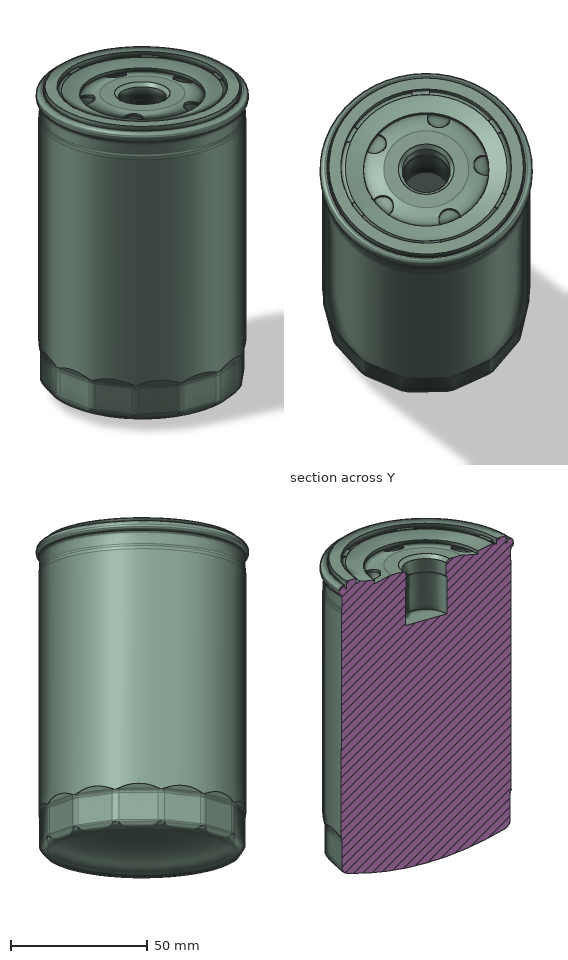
import cadquery as cq
import math

TOTAL_HEIGHT = 122.9
RIM_RADIUS = 39.0
CAN_RADIUS = 38.05

NECK_RADIUS = 37.85
NECK_STEP_RADIUS = 38.0
RIM_TOP_Z = TOTAL_HEIGHT - 1.55
RIM_TOP_ROUND = 1.8
RIM_BAND_HEIGHT = 0.8
RIM_LOWER_ROUND = 1.2
RIM_BAND_TOP_Z = RIM_TOP_Z - RIM_TOP_ROUND
RIM_BAND_BOTTOM_Z = RIM_BAND_TOP_Z - RIM_BAND_HEIGHT
RIM_BOTTOM_Z = RIM_BAND_BOTTOM_Z - RIM_LOWER_ROUND
NECK_FLARE_RADIUS = 38.0
NECK_TOP_Z = TOTAL_HEIGHT - 6.1
NECK_BOTTOM_Z = TOTAL_HEIGHT - 10.4
NECK_STEP_Z = TOTAL_HEIGHT - 11.2
CAN_TOP_Z = TOTAL_HEIGHT - 12.4

GASKET_OUTER_RADIUS = 35.75
GASKET_INNER_RADIUS = 31.3
GAP_OUTER_RADIUS = 36.5
GAP_FLOOR_RADIUS = 35.9
GAP_FLOOR_Z = RIM_TOP_Z - 1.5

TAB_COUNT = 6
TAB_SPAN = 12.0
TAB_FIRST_ANGLE = 10.0
TAB_TOP_Z = TOTAL_HEIGHT - 1.4

PLATE_EDGE_RADIUS = 29.7
PLATE_EDGE_Z = TOTAL_HEIGHT - 1.6
PLATE_GROOVE_Z = TOTAL_HEIGHT - 2.2
STEP_RADIUS = 23.0
STEP_TOP_Z = TOTAL_HEIGHT - 2.9
STEP_BOTTOM_Z = TOTAL_HEIGHT - 4.2
CENTRE_RADIUS = 15.6
CENTRE_Z = TOTAL_HEIGHT - 2.7

INLET_COUNT = 5
INLET_RADIUS = 4.1
INLET_CIRCLE_RADIUS = 21.7
INLET_FIRST_ANGLE = 90.0
INLET_DEPTH = 1.0
INLET_UNDERCUT = 0.4

BORE_MOUTH_RADIUS = 10.2
BORE_RADIUS = 8.8
BORE_CHAMFER_DEPTH = 1.4
BORE_LAND_LENGTH = 5.5
BORE_RELIEF_RADIUS = 9.1
BORE_DEPTH = 22.0

FLAT_COUNT = 14
FLAT_APOTHEM = 37.0
FLAT_PHASE = 2.75
POLYGON_START_ANGLE = 90.0
FLAT_CORNER_RADIUS = 5.7
FLAT_TOP_Z = TOTAL_HEIGHT - 103.95
FLAT_RUNOUT_Z = TOTAL_HEIGHT - 101.4
FLAT_RUNOUT_WIDTH = 1.1
FLAT_RUNOUT_ROUND = 4.0
FLAT_BOTTOM_Z = TOTAL_HEIGHT - 115.0
FLAT_EDGE_ROUND = 3.6
SELECTION_MARGIN = 0.1
ENVELOPE_MARGIN = 1.0

CAN_EDGE_ROUND = 4.3
CAN_EDGE_TOP_Z = TOTAL_HEIGHT - 114.0


def sphere_radius():
    """Radius of the dome sphere that touches Z = 0 and blends into the lower edge round."""
    rise = CAN_EDGE_TOP_Z - CAN_EDGE_ROUND
    reach = CAN_RADIUS - CAN_EDGE_ROUND
    return (reach**2 + rise**2) / (2 * rise) + CAN_EDGE_ROUND


def point_on_arc(centre, radius, angle):
    """Point at an angle, in degrees, on a circle in the profile plane."""
    turn = math.radians(angle)
    return (centre[0] + radius * math.cos(turn), centre[1] + radius * math.sin(turn))


def make_shell():
    """Outside of the filter, solid up to the gasket top, without flats."""
    sphere = sphere_radius()
    sphere_centre = (0, sphere)
    edge_centre = (CAN_RADIUS - CAN_EDGE_ROUND, CAN_EDGE_TOP_Z)
    blend_angle = -math.degrees(math.atan2(sphere - edge_centre[1], edge_centre[0]))
    dome_middle = point_on_arc(sphere_centre, sphere, (blend_angle - 90) / 2)
    dome_end = point_on_arc(edge_centre, CAN_EDGE_ROUND, blend_angle)
    edge_middle = point_on_arc(edge_centre, CAN_EDGE_ROUND, blend_angle / 2)

    upper_centre = (RIM_RADIUS - RIM_TOP_ROUND, RIM_BAND_TOP_Z)
    lower_centre = (RIM_RADIUS - RIM_LOWER_ROUND, RIM_BAND_BOTTOM_Z)
    profile = (
        cq.Workplane("XZ")
        .moveTo(0, 0)
        .threePointArc(dome_middle, dome_end)
        .threePointArc(edge_middle, (CAN_RADIUS, CAN_EDGE_TOP_Z))
        .lineTo(CAN_RADIUS, CAN_TOP_Z)
        .lineTo(NECK_STEP_RADIUS, NECK_STEP_Z)
        .lineTo(NECK_RADIUS, NECK_BOTTOM_Z)
        .lineTo(NECK_RADIUS, NECK_TOP_Z)
        .lineTo(NECK_FLARE_RADIUS, RIM_BOTTOM_Z)
        .lineTo(lower_centre[0], RIM_BOTTOM_Z)
        .threePointArc(point_on_arc(lower_centre, RIM_LOWER_ROUND, -45), (RIM_RADIUS, RIM_BAND_BOTTOM_Z))
        .lineTo(RIM_RADIUS, RIM_BAND_TOP_Z)
        .threePointArc(point_on_arc(upper_centre, RIM_TOP_ROUND, 45), (upper_centre[0], RIM_TOP_Z))
        .lineTo(GAP_OUTER_RADIUS, RIM_TOP_Z)
        .lineTo(GAP_FLOOR_RADIUS, GAP_FLOOR_Z)
        .lineTo(GASKET_OUTER_RADIUS, GAP_FLOOR_Z)
        .lineTo(GASKET_OUTER_RADIUS, TOTAL_HEIGHT)
        .lineTo(GASKET_INNER_RADIUS, TOTAL_HEIGHT)
        .lineTo(GASKET_INNER_RADIUS, PLATE_GROOVE_Z)
        .lineTo(PLATE_EDGE_RADIUS, PLATE_EDGE_Z)
        .lineTo(STEP_RADIUS, STEP_TOP_Z)
        .lineTo(STEP_RADIUS, STEP_BOTTOM_Z)
        .lineTo(CENTRE_RADIUS, CENTRE_Z)
        .lineTo(0, CENTRE_Z)
        .close()
    )
    return profile.revolve(360, (0, 0, 0), (0, 1, 0))


def flat_prism(z, height, taper=0.0):
    """Fourteen-sided prism with rounded corners, standing at height z."""
    corner_distance = FLAT_APOTHEM / math.cos(math.pi / FLAT_COUNT)
    outline = cq.Sketch().regularPolygon(corner_distance, FLAT_COUNT).vertices().fillet(FLAT_CORNER_RADIUS)
    prism = cq.Workplane("XY").workplane(offset=z).placeSketch(outline).extrude(height, taper=taper)
    return prism.rotate((0, 0, 0), (0, 0, 1), FLAT_PHASE - POLYGON_START_ANGLE)


def cut_wrench_flats(body):
    """Trim the lower end to a rounded polygon that runs out into the can."""
    runout_height = FLAT_RUNOUT_Z - FLAT_TOP_Z
    runout_taper = -math.degrees(math.atan2(FLAT_RUNOUT_WIDTH, runout_height))
    runout = flat_prism(FLAT_TOP_Z, runout_height, runout_taper)
    prism_bottom_z = FLAT_BOTTOM_Z - FLAT_EDGE_ROUND
    flats = flat_prism(prism_bottom_z, FLAT_TOP_Z - prism_bottom_z).union(runout)
    fold = cq.selectors.BoxSelector(
        (-RIM_RADIUS, -RIM_RADIUS, FLAT_TOP_Z - SELECTION_MARGIN),
        (RIM_RADIUS, RIM_RADIUS, FLAT_TOP_Z + SELECTION_MARGIN),
    )
    flats = flats.edges(fold).fillet(FLAT_RUNOUT_ROUND)
    flats = flats.faces("<Z").edges().fillet(FLAT_EDGE_ROUND)
    flats = flats.faces("<Z").wires().toPending().workplane().extrude(prism_bottom_z)
    upper_height = TOTAL_HEIGHT - FLAT_RUNOUT_Z
    upper_space = (
        cq.Workplane("XY")
        .workplane(offset=FLAT_RUNOUT_Z)
        .circle(RIM_RADIUS + ENVELOPE_MARGIN)
        .extrude(upper_height)
    )
    return body.intersect(flats.union(upper_space))


def add_gasket_tabs(body):
    """Short ring segments bridging the gasket and the plate edge."""
    tab = (
        cq.Workplane("XZ")
        .moveTo(PLATE_EDGE_RADIUS, STEP_TOP_Z)
        .lineTo(GASKET_INNER_RADIUS, STEP_TOP_Z)
        .lineTo(GASKET_INNER_RADIUS, TAB_TOP_Z)
        .lineTo(PLATE_EDGE_RADIUS, TAB_TOP_Z)
        .close()
        .revolve(TAB_SPAN, (0, 0, 0), (0, 1, 0))
    )
    for index in range(TAB_COUNT):
        middle_angle = TAB_FIRST_ANGLE + index * 360 / TAB_COUNT
        body = body.union(tab.rotate((0, 0, 0), (0, 0, 1), middle_angle - TAB_SPAN / 2))
    return body


def make_inlets():
    """Recesses that follow the inner cone and undercut the step."""
    outer_radius = STEP_RADIUS + INLET_UNDERCUT
    slope = (CENTRE_Z - STEP_BOTTOM_Z) / (STEP_RADIUS - CENTRE_RADIUS)
    outer_z = STEP_BOTTOM_Z - INLET_UNDERCUT * slope
    cone_band = (
        cq.Workplane("XZ")
        .moveTo(CENTRE_RADIUS, CENTRE_Z)
        .lineTo(outer_radius, outer_z)
        .lineTo(outer_radius, outer_z - INLET_DEPTH)
        .lineTo(CENTRE_RADIUS, CENTRE_Z - INLET_DEPTH)
        .close()
        .revolve(360, (0, 0, 0), (0, 1, 0))
    )
    bottom_z = STEP_BOTTOM_Z - 2 * INLET_DEPTH
    cylinders = (
        cq.Workplane("XY")
        .workplane(offset=bottom_z)
        .polarArray(INLET_CIRCLE_RADIUS, INLET_FIRST_ANGLE, 360, INLET_COUNT)
        .circle(INLET_RADIUS)
        .extrude(TOTAL_HEIGHT - bottom_z)
    )
    return cone_band.intersect(cylinders)


def make_bore():
    """Blind central bore: chamfered mouth, land and wider relief."""
    chamfer_z = CENTRE_Z - BORE_CHAMFER_DEPTH
    land_end_z = chamfer_z - BORE_LAND_LENGTH
    floor_z = CENTRE_Z - BORE_DEPTH
    profile = (
        cq.Workplane("XZ")
        .moveTo(0, CENTRE_Z)
        .lineTo(BORE_MOUTH_RADIUS, CENTRE_Z)
        .lineTo(BORE_RADIUS, chamfer_z)
        .lineTo(BORE_RADIUS, land_end_z)
        .lineTo(BORE_RELIEF_RADIUS, land_end_z)
        .lineTo(BORE_RELIEF_RADIUS, floor_z)
        .lineTo(0, floor_z)
        .close()
    )
    return profile.revolve(360, (0, 0, 0), (0, 1, 0))


result = cut_wrench_flats(make_shell())
result = add_gasket_tabs(result)
result = result.cut(make_inlets()).cut(make_bore())